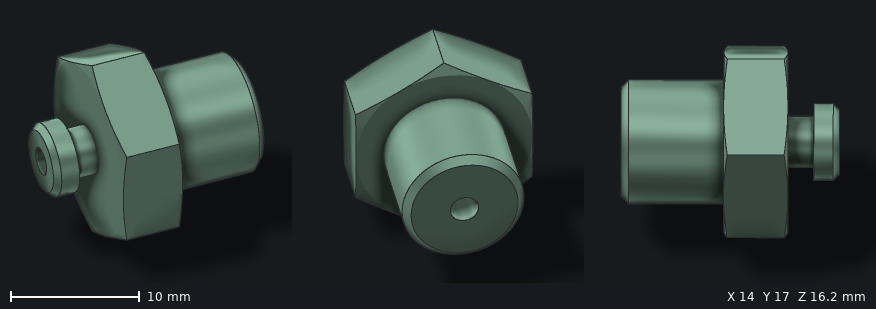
import cadquery as cq
import math

total_length = 17.0
head_length = 2.0
neck_length = 2.0
hex_length = 5.0
shank_length = total_length - head_length - neck_length - hex_length

head_diameter = 6.0
neck_diameter = 4.0
shank_diameter = 9.67
bore_diameter = 2.23
across_flats = 14.0

head_chamfer = 0.5
shank_chamfer = 0.6
hex_chamfer_angle = 15.0

neck_start = head_length
hex_start = neck_start + neck_length
shank_start = hex_start + hex_length


def cylinder(diameter, start, length):
    """Round bar along +Y, beginning at the given station."""
    plane = cq.Workplane("XZ", origin=(0, start, 0))
    return plane.circle(diameter / 2).extrude(-length)


def chamfered_hexagon():
    """Hexagon with corners on +Z and -Z, its corners coned off at both ends."""
    across_corners = across_flats / math.cos(math.radians(30))
    hexagon = (
        cq.Workplane("XZ", origin=(0, hex_start, 0))
        .polygon(6, across_corners)
        .extrude(-hex_length)
        .rotate((0, 0, 0), (0, 1, 0), 30)
    )
    face_radius = across_flats / 2
    corner_radius = across_corners / 2
    cone_depth = (corner_radius - face_radius) * math.tan(math.radians(hex_chamfer_angle))
    envelope = (
        cq.Workplane("XY")
        .moveTo(0, hex_start)
        .lineTo(face_radius, hex_start)
        .lineTo(corner_radius, hex_start + cone_depth)
        .lineTo(corner_radius, shank_start - cone_depth)
        .lineTo(face_radius, shank_start)
        .lineTo(0, shank_start)
        .close()
        .revolve(360, (0, 0, 0), (0, 1, 0))
    )
    return hexagon.intersect(envelope)


head = cylinder(head_diameter, 0, head_length).faces("<Y").chamfer(head_chamfer)
neck = cylinder(neck_diameter, neck_start, neck_length)
shank = cylinder(shank_diameter, shank_start, shank_length).faces(">Y").chamfer(shank_chamfer)
bore = cylinder(bore_diameter, 0, total_length)

result = chamfered_hexagon().union(neck).union(head).union(shank).cut(bore)